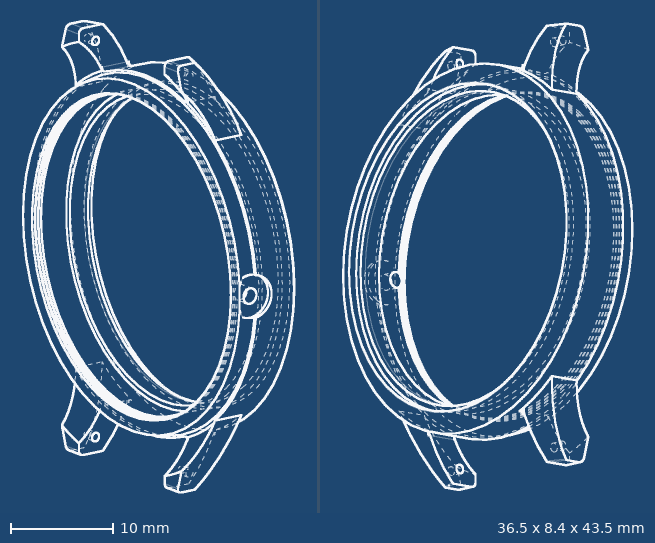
import cadquery as cq
import math


outer_radius = 18.25
ring_depth = 7.2
bevel_depth = 1.05
bevel_radius = 16.3
bevel_mid_radius = 17.55
bevel_mid_depth = 0.45
step_depth = 5.55
rim_base_radius = 18.0
rim_front_radius = 17.7

seat_radius = 16.2
seat_depth = 0.9
flare_radius = 15.55
flare_depth = 1.45
bore_steps = [
    (15.45, 3.2),
    (16.0, 6.25),
    (16.05, 6.55),
    (16.15, 6.87),
    (16.23, ring_depth),
]

overall_height = 43.5
lug_tip = overall_height / 2
lug_inner_x = 7.0
lug_tip_x = 9.0
lug_root_x = 11.45
lug_root_z = 14.05
lug_back_depth = 2.3
lug_front_depth = 8.4
lug_back_mid = (21.35, 4.15)
lug_back_end = (23.58, 6.25)
lug_under_root = 18.4
lug_under_mid = (20.23, 6.8)
lug_under_radius = 21.6
lug_core_radius = 16.95
lug_sweep_radius = 24.35
tip_round = 0.52
tip_back_round = 0.25
root_fillet = 0.35

pin_diameter = 0.85
pin_hole_length = 1.3
pin_z = 20.2
pin_depth = 6.35

crown_diameter = 4.4
crown_floor_x = 17.65
crown_depth = 5.95
stem_diameter = 1.55


def make_ring():
    """Revolve the ring section (radius, -depth) about the Y axis."""
    section = (
        cq.Workplane("XY")
        .moveTo(seat_radius, 0)
        .lineTo(bevel_radius, 0)
        .threePointArc((bevel_mid_radius, -bevel_mid_depth), (outer_radius, -bevel_depth))
        .lineTo(outer_radius, -step_depth)
        .lineTo(rim_base_radius, -step_depth)
        .lineTo(rim_front_radius, -ring_depth)
    )
    start_depths = [flare_depth] + [end_depth for _, end_depth in bore_steps[:-1]]
    for (radius, end_depth), start_depth in reversed(list(zip(bore_steps, start_depths))):
        section = section.lineTo(radius, -end_depth).lineTo(radius, -start_depth)
    section = section.lineTo(flare_radius, -seat_depth).lineTo(seat_radius, -seat_depth)
    return section.close().revolve(360, (0, 0, 0), (0, 1, 0))


def make_lug():
    """Upper +X lug: a curved revolved flange trimmed to the lug's front outline."""
    flange = (
        cq.Workplane("XY")
        .moveTo(lug_core_radius, -lug_back_depth)
        .lineTo(outer_radius, -lug_back_depth)
        .threePointArc(
            (lug_back_mid[0], -lug_back_mid[1]),
            (lug_back_end[0], -lug_back_end[1]),
        )
        .lineTo(lug_sweep_radius, -lug_back_end[1])
        .lineTo(lug_sweep_radius, -lug_front_depth)
        .lineTo(lug_under_radius, -lug_front_depth)
        .threePointArc((lug_under_mid[0], -lug_under_mid[1]), (lug_under_root, -step_depth))
        .lineTo(lug_core_radius, -step_depth)
        .close()
        .revolve(360, (0, 0, 0), (0, 1, 0))
    )
    outline = (
        cq.Workplane("XZ")
        .polyline([
            (lug_inner_x, 0),
            (lug_inner_x, lug_tip),
            (lug_tip_x, lug_tip),
            (lug_root_x, lug_root_z),
            (lug_root_x, 0),
        ])
        .close()
        .extrude(lug_front_depth)
        .edges(">Z and <Y")
        .fillet(tip_round)
    )
    lug = flange.intersect(outline)
    back_edge_zone = cq.selectors.BoxSelector(
        (lug_inner_x, -lug_back_end[1], lug_tip - tip_back_round),
        (lug_tip_x, -lug_back_mid[1], lug_tip + tip_back_round),
    )
    return lug.edges(back_edge_zone).fillet(tip_back_round)


def make_root_fillet():
    """Concave fillet between the inner lug face and the ring, seen along Y."""
    center_x = lug_inner_x - root_fillet
    center_distance = outer_radius + root_fillet
    center_z = math.sqrt(center_distance**2 - center_x**2)
    touch = outer_radius / center_distance
    overlap_x = lug_inner_x + root_fillet
    overlap_z = center_z - 3 * root_fillet
    wedge = (
        cq.Workplane("XZ", origin=(0, -lug_back_depth, 0))
        .polyline([
            (center_x * touch, overlap_z),
            (center_x * touch, center_z * touch),
            (center_x, center_z),
            (lug_inner_x, center_z),
            (overlap_x, overlap_z),
        ])
        .close()
        .extrude(step_depth - lug_back_depth)
    )
    fillet_circle = (
        cq.Workplane("XZ", origin=(center_x, 0, center_z))
        .circle(root_fillet)
        .extrude(lug_front_depth)
    )
    return wedge.cut(fillet_circle)


def make_pin_hole():
    """Blind spring bar hole in the inner face of the upper +X lug."""
    return (
        cq.Workplane("YZ", origin=(lug_inner_x, -pin_depth, pin_z))
        .circle(pin_diameter / 2)
        .extrude(pin_hole_length)
    )


def on_four_corners(shape):
    """Repeat a shape mirrored left to right and top to bottom."""
    pair = shape.union(shape.mirror("YZ"))
    return pair.union(pair.mirror("XY"))


def drill_from_side(diameter, start_x):
    """Cylinder along X at the crown position, running out past the ring."""
    return (
        cq.Workplane("YZ", origin=(start_x, -crown_depth, 0))
        .circle(diameter / 2)
        .extrude(outer_radius)
    )


case = make_ring().union(on_four_corners(make_lug().union(make_root_fillet())))
case = case.cut(on_four_corners(make_pin_hole()))
case = case.cut(drill_from_side(crown_diameter, crown_floor_x))
result = case.cut(drill_from_side(stem_diameter, 0))